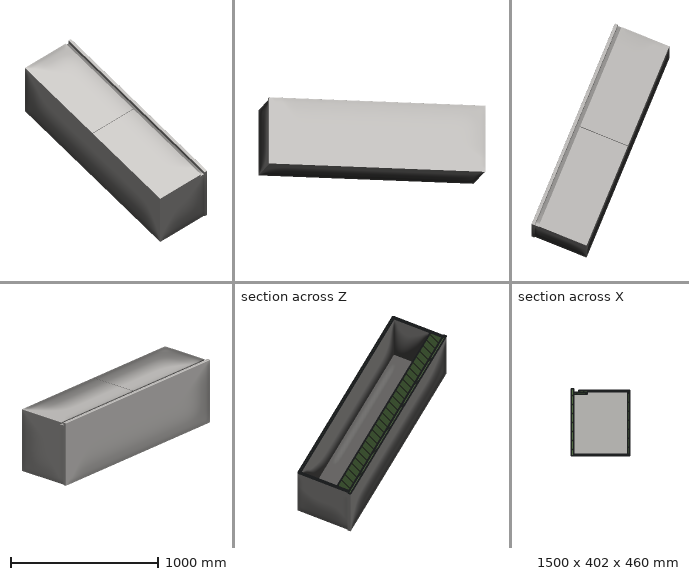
import cadquery as cq


total_width = 1500.0
total_depth = 402.0
total_height = 460.0

board = 16.0
back_thickness = 22.0

back_overhang = 6.0
back_upstand = 9.0
back_rounding = 3.0

lid_joint = 3.0
lid_bevel = 10.0
finger_gap = 27.0
rail_depth = 90.0

carcass_width = total_width - 2 * back_overhang
carcass_depth = total_depth - back_thickness
carcass_height = total_height - back_upstand - board
inner_width = carcass_width - 2 * board
lid_width = (carcass_width - lid_joint) / 2
lid_depth = carcass_depth - finger_gap

SIDES = (-1, 1)


def make_board(width, depth, height, x=0, y=0, z=0):
    """Box centred on x, with its front at y and its underside at z."""
    box = cq.Workplane("XY").box(width, depth, height, centered=(True, False, False))
    return box.translate((x, y, z))


def make_back_panel():
    """Full-height panel behind the carcass, with rounded top ends and rear edges."""
    panel = make_board(total_width, back_thickness, total_height, y=carcass_depth)
    top_ends = "(>Z and <X) or (>Z and >X)"
    rear_edges = "(>Y and >Z) or (>Y and <X) or (>Y and >X)"
    return panel.edges(f"{top_ends} or {rear_edges}").fillet(back_rounding)


def make_side_panel(side):
    """End panel of the carcass."""
    return make_board(board, carcass_depth, carcass_height, x=side * (carcass_width - board) / 2)


def make_bottom_panel():
    """Floor between the side panels."""
    return make_board(inner_width, carcass_depth, board)


def make_front_panel():
    """Front between the side panels, standing on the floor."""
    return make_board(inner_width, board, carcass_height - board, z=board)


def make_rear_rail():
    """Flat rail between the side panels that closes the finger gap from below."""
    return make_board(
        inner_width, rail_depth, board,
        y=carcass_depth - rail_depth, z=carcass_height - board,
    )


def make_lid(side):
    """Half of the top, with its lower rear edge bevelled as a finger grip."""
    lid = make_board(
        lid_width, lid_depth, board,
        x=side * (lid_width + lid_joint) / 2, z=carcass_height,
    )
    return lid.edges(">Y and <Z").chamfer(lid_bevel)


back_panel = make_back_panel()
side_panels = [make_side_panel(side) for side in SIDES]
bottom_panel = make_bottom_panel()
front_panel = make_front_panel()
rear_rail = make_rear_rail()
lids = [make_lid(side) for side in SIDES]

result = cq.Compound.makeCompound([
    back_panel.val(),
    *[panel.val() for panel in side_panels],
    bottom_panel.val(),
    front_panel.val(),
    rear_rail.val(),
    *[lid.val() for lid in lids],
])